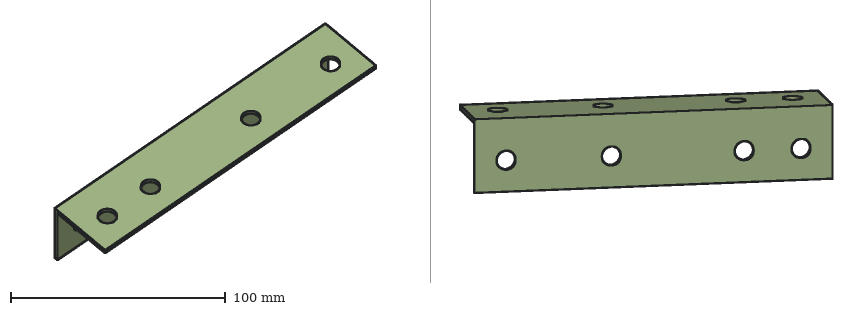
import cadquery as cq

length = 170.0
leg_width = 35.0
thickness = 2.0

hole_diameter = 9.0
hole_offset = 20.0
hole_positions = [15.0, 42.0, 105.0, 155.0]


def make_angle():
    top_leg = cq.Workplane("XY").box(leg_width, length, thickness, centered=False)
    top_leg = top_leg.translate((0, 0, -thickness))
    side_leg = cq.Workplane("XY").box(thickness, length, leg_width, centered=False)
    side_leg = side_leg.translate((0, 0, -leg_width))
    return top_leg.union(side_leg)


def make_hole(start, direction):
    """Cylinder that passes through one leg, starting on its outer face."""
    return cq.Workplane(
        cq.Solid.makeCylinder(hole_diameter / 2, thickness, cq.Vector(*start), cq.Vector(*direction))
    )


result = make_angle()
for y in hole_positions:
    result = result.cut(make_hole((hole_offset, y, 0), (0, 0, -1)))
    result = result.cut(make_hole((0, y, -hole_offset), (1, 0, 0)))